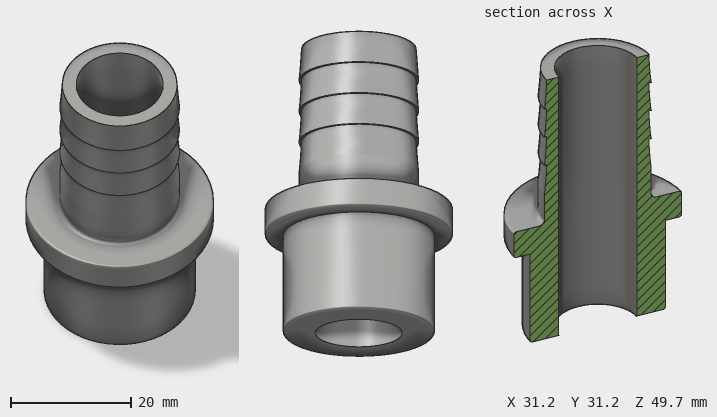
import cadquery as cq

total_height = 49.7
bore_diameter = 14.4

spigot_diameter = 25.2
spigot_height = 17.0
spigot_edge_radius = 0.5

flange_diameter = 31.2
flange_thickness = 5.0
flange_edge_radius = 0.5
flange_top = spigot_height + flange_thickness

tail_diameter = 19.9
barb_tip_diameter = 19.1
barb_count = 4
barb_pitch = 5.4
end_barb_height = 5.45
tail_root_radius = 1.0
selection_margin = 0.05
barbs_bottom = total_height - end_barb_height - (barb_count - 1) * barb_pitch


def cylinder(diameter, bottom, height):
    return cq.Workplane("XY").workplane(offset=bottom).circle(diameter / 2).extrude(height)


def barb(bottom, height):
    """Truncated cone that narrows upward, leaving a sharp step at its base."""
    profile = [
        (0, bottom),
        (tail_diameter / 2, bottom),
        (barb_tip_diameter / 2, bottom + height),
        (0, bottom + height),
    ]
    return cq.Workplane("XZ").polyline(profile).close().revolve(360, (0, 0, 0), (0, 1, 0))


spigot = cylinder(spigot_diameter, 0, spigot_height).faces("<Z").edges().fillet(spigot_edge_radius)

flange = cylinder(flange_diameter, spigot_height, flange_thickness)
flange = flange.edges("%CIRCLE").fillet(flange_edge_radius)

tail = cylinder(tail_diameter, flange_top, barbs_bottom - flange_top)
body = spigot.union(flange).union(tail)
tail_root = cq.selectors.BoxSelector(
    (-tail_diameter, -tail_diameter, flange_top - selection_margin),
    (tail_diameter, tail_diameter, flange_top + selection_margin),
)
body = body.edges(tail_root).edges(cq.selectors.RadiusNthSelector(0)).fillet(tail_root_radius)

for index in range(barb_count):
    is_end_barb = index == barb_count - 1
    barb_height = end_barb_height if is_end_barb else barb_pitch
    body = body.union(barb(barbs_bottom + index * barb_pitch, barb_height))

result = body.cut(cylinder(bore_diameter, 0, total_height))